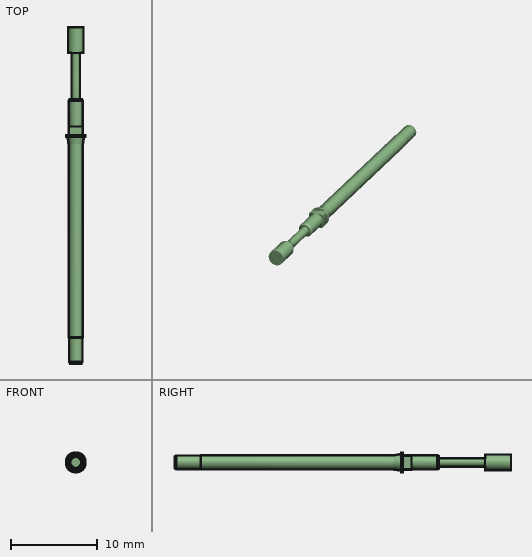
import cadquery as cq

length = 38.8

head_diameter = 1.82
stem_diameter = 1.0
barrel_diameter = 1.65
flange_diameter = 2.3
collar_diameter = 1.95
tail_diameter = 1.6

square_width = 1.7

head_length = 3.0
tail_length = 3.0
tail_chamfer_length = 0.25
tail_chamfer_depth = 0.15
barrel_rear_taper = 0.08
barrel_front = 30.5
barrel_front_chamfer_length = 0.25
barrel_front_chamfer_depth = 0.1
square_length = 0.97
flange_front = 26.35
flange_thickness = 0.25
collar_length = 0.8

head_back = length - head_length
square_front = flange_front + square_length
flange_back = flange_front - flange_thickness
collar_back = flange_back - collar_length

head_radius = head_diameter / 2
stem_radius = stem_diameter / 2
barrel_radius = barrel_diameter / 2
flange_radius = flange_diameter / 2
collar_radius = collar_diameter / 2
tail_radius = tail_diameter / 2


def turned_pin():
    """Revolve the stepped (Y, radius) outline about the Y axis."""
    outline = (
        cq.Workplane("YZ")
        .moveTo(0, 0)
        .lineTo(0, tail_radius - tail_chamfer_depth)
        .lineTo(tail_chamfer_length, tail_radius)
        .lineTo(tail_length, tail_radius)
        .lineTo(tail_length + barrel_rear_taper, barrel_radius)
        .lineTo(collar_back, barrel_radius)
        .lineTo(flange_back, collar_radius)
        .lineTo(flange_back, flange_radius)
        .lineTo(square_front, flange_radius)
        .lineTo(square_front, barrel_radius)
        .lineTo(barrel_front - barrel_front_chamfer_length, barrel_radius)
        .lineTo(barrel_front, barrel_radius - barrel_front_chamfer_depth)
        .lineTo(barrel_front, stem_radius)
        .lineTo(head_back, stem_radius)
        .lineTo(head_back, head_radius)
        .lineTo(length, head_radius)
        .lineTo(length, 0)
        .close()
    )
    return outline.revolve(360, (0, 0, 0), (1, 0, 0))


def square_flats():
    """Material to mill off ahead of the flange, leaving a square with rounded corners."""
    blank = cq.Workplane("XZ", origin=(0, flange_front, 0)).circle(flange_diameter)
    return blank.rect(square_width, square_width).extrude(-square_length)


result = turned_pin().cut(square_flats())